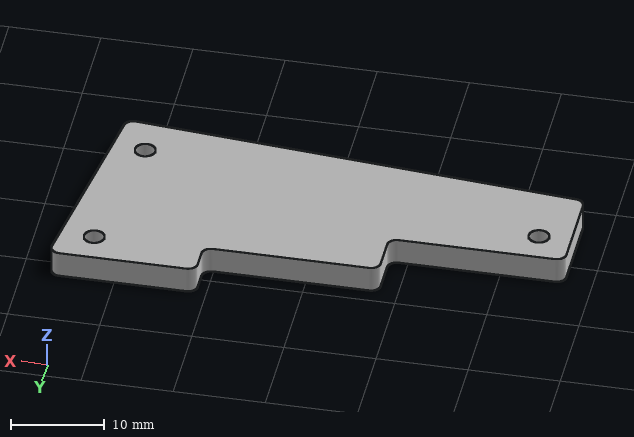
import cadquery as cq

thickness = 3.0
corner_radius = 1.0
hole_diameter = 2.2

tread_length = 19.05
low_step_y = 15.1
middle_step_y = 20.55
top_y = 24.55

lower_left_y = 4.3
lower_right = (50.55, -0.1)
top_right_x = 54.15

hole_centers = [(3.5, 11.5), (49.85, 20.95), (47.6, 4.8)]

outline = [
    (0, lower_left_y),
    lower_right,
    (top_right_x, top_y),
    (2 * tread_length, top_y),
    (2 * tread_length, middle_step_y),
    (tread_length, middle_step_y),
    (tread_length, low_step_y),
    (0, low_step_y),
]

plate = cq.Workplane("XY").polyline(outline).close().extrude(thickness)
plate = plate.edges("|Z").fillet(corner_radius)

holes = (
    cq.Workplane("XY")
    .pushPoints(hole_centers)
    .circle(hole_diameter / 2)
    .extrude(thickness)
)

result = plate.cut(holes)